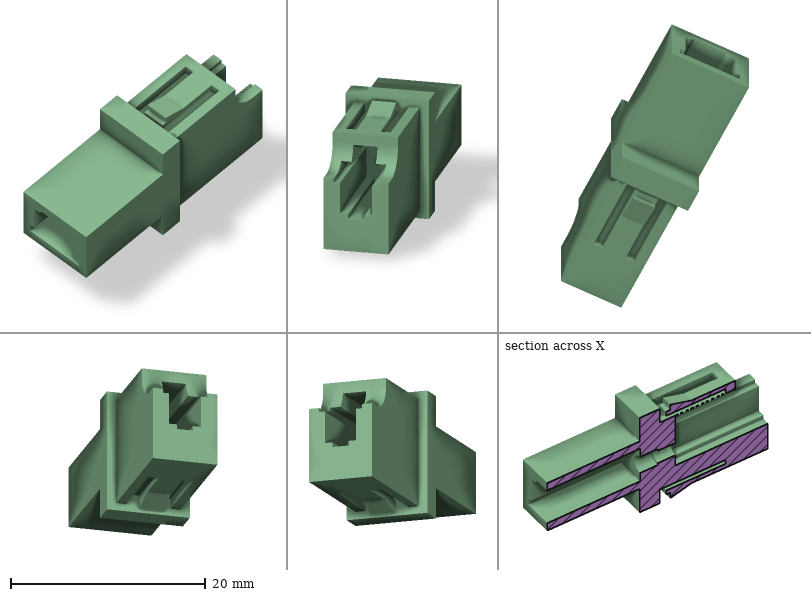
import cadquery as cq


LENGTH = 27.58

NOSE_WIDTH = 8.88
NOSE_HEIGHT = 6.56
FLANGE_HEIGHT = 13.0
FLANGE_FRONT = 11.53
FLANGE_REAR = 14.1
BODY_WIDTH = 6.92
BODY_HEIGHT = 11.4
BODY_TOP = BODY_HEIGHT / 2

SCOOP_FLOOR = 2.07
SCOOP_RADIUS = 2.68
SCOOP_FRONT = 23.5

PORT_DEPTH = 11.58
PORT_BOTTOM = -2.2
PORT_STEP = -1.2
PORT_SHOULDER = 1.8
PORT_TOP = 2.2
PORT_BASE_HALF = 3.45
PORT_HALF = 2.87
PORT_SHOULDER_HALF = 2.23
PORT_TOP_HALF = 1.8

SOCKET_FRONT = 16.0
SOCKET_HALF = 2.37
SOCKET_LEDGE = 1.63
SOCKET_TOP = 2.87
CHANNEL_HALF = 1.7
CHANNEL_BOTTOM = -1.7
GROOVE_HALF = 0.85
GROOVE_BOTTOM = -2.2
KEYWAY_TOP = 4.47

BORE_DIAMETER = 1.63
COUNTERBORE_DIAMETER = 2.15
COUNTERBORE_DEPTH = 2.2

LATCH_POCKET_HALF = SOCKET_HALF
LATCH_POCKET_DEPTH = 1.08
LATCH_HALF = 1.282
LATCH_THICKNESS = 0.6
LATCH_ROOT = 22.23
LATCH_FRONT = 14.85
BARB_FRONT = 15.33
BARB_REAR = 18.0
BARB_HEIGHT = 0.75


def box(half_width, y_start, y_end, z_start, z_end):
    """Block centred in X between the given Y and Z limits."""
    return cq.Workplane("XY").box(
        2 * half_width, y_end - y_start, z_end - z_start, centered=(True, False, False)
    ).translate((0, y_start, z_start))


def side_prism(profile, width):
    """Extrude a closed YZ profile symmetrically across X."""
    return profile.close().extrude(width / 2, both=True)


def outer_shape():
    nose = box(NOSE_WIDTH / 2, 0, FLANGE_REAR, -NOSE_HEIGHT / 2, NOSE_HEIGHT / 2)
    flange = box(NOSE_WIDTH / 2, FLANGE_FRONT, FLANGE_REAR, -FLANGE_HEIGHT / 2, FLANGE_HEIGHT / 2)
    body = box(BODY_WIDTH / 2, FLANGE_REAR, LENGTH, -BODY_TOP, BODY_TOP)
    return nose.union(flange).union(body)


def scoop():
    arc_centre_y = SCOOP_FRONT + SCOOP_RADIUS
    arc_centre_z = SCOOP_FLOOR + SCOOP_RADIUS
    diagonal = SCOOP_RADIUS * 0.5**0.5
    profile = (
        cq.Workplane("YZ")
        .moveTo(SCOOP_FRONT, BODY_TOP)
        .lineTo(SCOOP_FRONT, arc_centre_z)
        .threePointArc(
            (arc_centre_y - diagonal, arc_centre_z - diagonal),
            (arc_centre_y, SCOOP_FLOOR),
        )
        .lineTo(LENGTH, SCOOP_FLOOR)
        .lineTo(LENGTH, BODY_TOP)
    )
    return side_prism(profile, BODY_WIDTH)


def front_port():
    right_side = [
        (PORT_BASE_HALF, PORT_BOTTOM),
        (PORT_BASE_HALF, PORT_STEP),
        (PORT_HALF, PORT_STEP),
        (PORT_HALF, PORT_SHOULDER),
        (PORT_SHOULDER_HALF, PORT_SHOULDER),
        (PORT_TOP_HALF, PORT_TOP),
    ]
    left_side = [(-x, z) for x, z in reversed(right_side)]
    return cq.Workplane("XZ").polyline(right_side + left_side).close().extrude(-PORT_DEPTH)


def rear_socket():
    upper = box(SOCKET_HALF, SOCKET_FRONT, LENGTH, SOCKET_LEDGE, SOCKET_TOP)
    channel = box(CHANNEL_HALF, SOCKET_FRONT, LENGTH, CHANNEL_BOTTOM, SOCKET_LEDGE)
    groove = box(GROOVE_HALF, SOCKET_FRONT, LENGTH, GROOVE_BOTTOM, CHANNEL_BOTTOM)
    keyway = box(LATCH_HALF, SOCKET_FRONT, LENGTH, SOCKET_TOP, KEYWAY_TOP)
    return upper.union(channel).union(groove).union(keyway)


def fibre_bore():
    bore = cq.Workplane("XZ").circle(BORE_DIAMETER / 2).extrude(-LENGTH)
    counterbore = (
        cq.Workplane("XZ", origin=(0, PORT_DEPTH, 0))
        .circle(COUNTERBORE_DIAMETER / 2)
        .extrude(-COUNTERBORE_DEPTH)
    )
    return bore.union(counterbore)


def latch_pocket():
    return box(LATCH_POCKET_HALF, FLANGE_REAR, LATCH_ROOT, BODY_TOP - LATCH_POCKET_DEPTH, BODY_TOP)


def latch():
    """Cantilever arm over the pocket, rooted at the rear and barbed near its free end."""
    arm_bottom = BODY_TOP - LATCH_THICKNESS
    profile = cq.Workplane("YZ").polyline([
        (LATCH_ROOT, arm_bottom),
        (LATCH_FRONT, arm_bottom),
        (LATCH_FRONT, BODY_TOP),
        (BARB_FRONT, BODY_TOP),
        (BARB_FRONT, BODY_TOP + BARB_HEIGHT),
        (BARB_REAR, BODY_TOP),
        (LATCH_ROOT, BODY_TOP),
    ])
    return side_prism(profile, 2 * LATCH_HALF)


result = outer_shape()
for cutter in (scoop(), front_port(), rear_socket(), fibre_bore()):
    result = result.cut(cutter)

top_pocket = latch_pocket()
top_latch = latch()
result = result.cut(top_pocket).cut(top_pocket.mirror("XY"))
result = result.union(top_latch).union(top_latch.mirror("XY"))